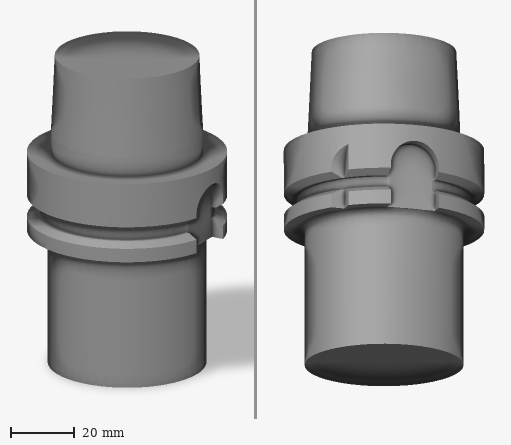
import cadquery as cq

total_height = 102.0
flange_bottom = 44.0
flange_top = 70.0
taper_start = 76.2
groove_center = 52.0

body_radius = 25.0
flange_radius = 31.5
pilot_radius = 24.0
taper_top_radius = 22.7

groove_radius = 27.4
groove_width = 3.7
groove_lip_radius = 28.9
groove_chamfer_height = 1.7

neck_fillet = 1.8

slot_radius = 8.0
slot_center_z = 56.8
keyway_floor = 26.5
notch_floor = 19.9
notch_wall = 20.2


def make_body():
    """Revolve the stepped half profile about Z."""
    groove_low = groove_center - groove_width / 2
    groove_high = groove_center + groove_width / 2
    arc_inset = neck_fillet * (1 - 0.5**0.5)
    profile = (
        cq.Workplane("XZ")
        .lineTo(body_radius, 0)
        .lineTo(body_radius, flange_bottom - neck_fillet)
        .threePointArc(
            (body_radius + arc_inset, flange_bottom - arc_inset),
            (body_radius + neck_fillet, flange_bottom),
        )
        .lineTo(flange_radius, flange_bottom)
        .lineTo(flange_radius, groove_low - groove_chamfer_height)
        .lineTo(groove_lip_radius, groove_low)
        .lineTo(groove_radius, groove_low)
        .lineTo(groove_radius, groove_high)
        .lineTo(groove_lip_radius, groove_high)
        .lineTo(flange_radius, groove_high + groove_chamfer_height)
        .lineTo(flange_radius, flange_top)
        .lineTo(pilot_radius, flange_top)
        .lineTo(pilot_radius, taper_start)
        .lineTo(taper_top_radius, total_height)
        .lineTo(0, total_height)
        .close()
    )
    return profile.revolve(360, (0, 0, 0), (0, 1, 0))


def make_slot(floor):
    """Round-topped slot cutter facing +X, from its floor to the flange rim."""
    return (
        cq.Workplane("YZ", origin=(floor, 0, 0))
        .moveTo(-slot_radius, flange_bottom)
        .lineTo(-slot_radius, slot_center_z)
        .threePointArc((0, slot_center_z + slot_radius), (slot_radius, slot_center_z))
        .lineTo(slot_radius, flange_bottom)
        .close()
        .extrude(flange_radius - floor)
    )


result = make_body()

for angle in (0, 180):
    keyway = make_slot(keyway_floor).rotate((0, 0, 0), (0, 0, 1), angle)
    result = result.cut(keyway)

notch = make_slot(notch_floor).rotate((0, 0, 0), (0, 0, 1), 90)
result = result.cut(notch.translate((-notch_wall - slot_radius, 0, 0)))